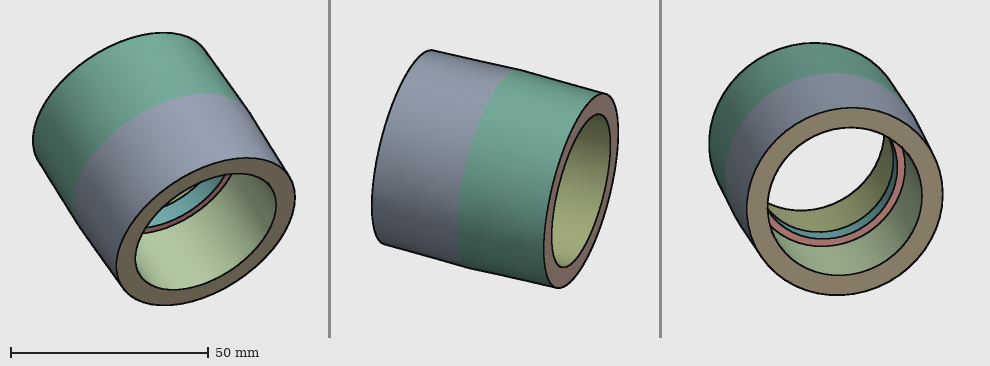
import cadquery as cq

length = 47.0
middle_diameter = 52.0
end_diameter = 50.8
socket_diameter = 40.0
socket_depth = 21.0
land_diameter = 36.0

half_length = length / 2


def make_tapered_body():
    """Solid double cone, widest at mid length."""
    profile = (
        cq.Workplane("XY")
        .moveTo(-half_length, 0)
        .lineTo(-half_length, end_diameter / 2)
        .lineTo(0, middle_diameter / 2)
        .lineTo(half_length, end_diameter / 2)
        .lineTo(half_length, 0)
        .close()
    )
    return profile.revolve(360, (0, 0, 0), (1, 0, 0))


def make_bore(diameter, start_x, depth):
    """Cylinder along +X, centred on the sleeve axis."""
    return cq.Workplane("YZ", origin=(start_x, 0, 0)).circle(diameter / 2).extrude(depth)


result = make_tapered_body().cut(make_bore(land_diameter, -half_length, length))
for socket_start in (-half_length, half_length - socket_depth):
    result = result.cut(make_bore(socket_diameter, socket_start, socket_depth))